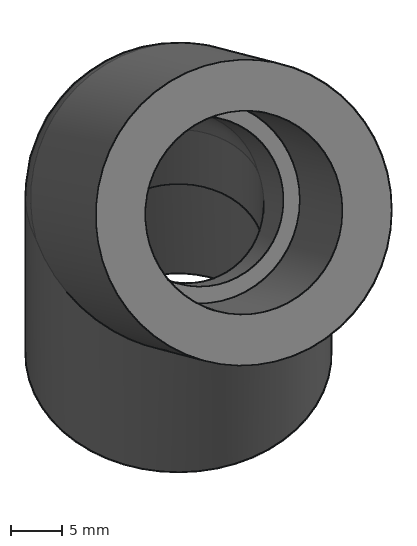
import cadquery as cq
import math

overall_height = 52.45
bend_angle = 45.0
outer_diameter = 30.0
socket_diameter = 20.0
bore_diameter = 16.65
socket_depth = 16.0

bend = math.radians(bend_angle)
rim_rise = outer_diameter / 2 * math.sin(bend)
leg_length = (overall_height - rim_rise) / (1 + math.cos(bend))


def add_upper_leg(leg):
    """Join a downward leg with its copy turned about the bend centre."""
    upper_leg = leg.rotate((0, 0, 0), (0, 1, 0), 180 + bend_angle)
    return leg.union(upper_leg)


def make_elbow(diameter):
    """Two round legs joined by a ball at the bend centre."""
    leg = cq.Workplane("XY").circle(diameter / 2).extrude(-leg_length)
    ball = cq.Workplane("XY").sphere(diameter / 2)
    return add_upper_leg(leg).union(ball)


def make_sockets():
    """Wider pipe sockets at both open ends."""
    socket = (
        cq.Workplane("XY")
        .workplane(offset=-leg_length)
        .circle(socket_diameter / 2)
        .extrude(socket_depth)
    )
    return add_upper_leg(socket)


body = make_elbow(outer_diameter)
bore = make_elbow(bore_diameter)
result = body.cut(bore).cut(make_sockets())